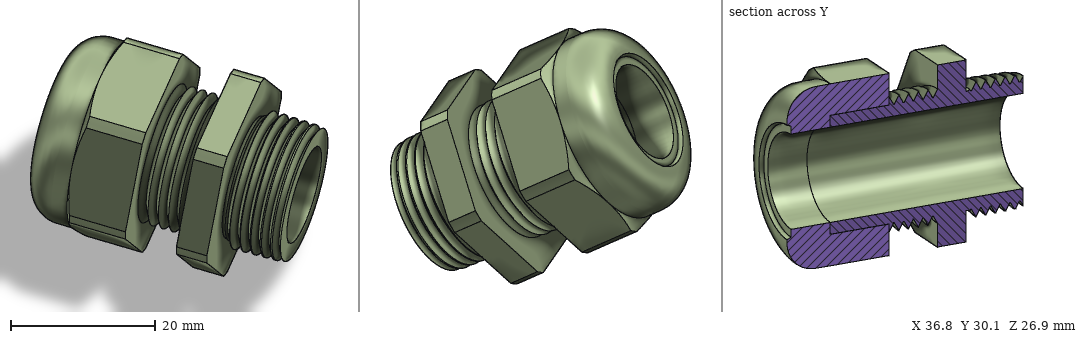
import cadquery as cq
import math


total_length = 36.83
hex_flats = 26.92
hex_corner_diameter = 30.15
bore_radius = 7.0

nut_back = 15.95
nut_hex_front = 6.75
nut_radius = hex_flats / 2
dome_radius = 4.5
corner_chamfer_angle = 30.0
mouth_radius = 8.45
mouth_floor_radius = 8.18
mouth_depth = 0.63
socket_start = nut_hex_front

flange_front = 23.45
flange_back = 27.95
thread_radius = 10.05
front_root_count = 5
rear_first_root = 28.73
rear_last_root = 36.3
rear_root_count = 6
thread_pitch = (rear_last_root - rear_first_root) / (rear_root_count - 1)
front_first_root = nut_back + thread_pitch / 2
flank_angle = 60.0
flank_slope = math.tan(math.radians(flank_angle))
root_radius = thread_radius - thread_pitch / 2 * flank_slope
collar_radius = 8.85
runout_radius = 9.05
runout_end = 28.47
rear_tip_radius = 9.8


def revolve_about_x(profile):
    """Turn a closed (x, radius) profile into a solid of revolution about the X axis."""
    return profile.close().revolve(360, (0, 0, 0), (1, 0, 0))


def cylinder(radius, start, end):
    """Cylinder on the X axis between two X positions."""
    return cq.Workplane("YZ", origin=(start, 0, 0)).circle(radius).extrude(end - start)


def rounded_hexagon(start, end):
    """Hexagon with flats facing +Z and -Z, its corners turned down to the corner diameter."""
    across_corners = hex_flats / math.cos(math.radians(30))
    hexagon = cq.Workplane("YZ", origin=(start, 0, 0)).polygon(6, across_corners).extrude(end - start)
    return hexagon.intersect(cylinder(hex_corner_diameter / 2, start, end))


def make_cap_nut():
    """Domed nut with a stepped mouth, a bore and a socket for the neck of the body."""
    corner_radius = hex_corner_diameter / 2
    chamfer_length = (corner_radius - nut_radius) * math.tan(math.radians(corner_chamfer_angle))
    chamfer_envelope = revolve_about_x(
        cq.Workplane("XY")
        .moveTo(nut_hex_front, 0)
        .lineTo(nut_hex_front, nut_radius)
        .lineTo(nut_hex_front + chamfer_length, corner_radius)
        .lineTo(nut_back, corner_radius)
        .lineTo(nut_back, 0)
    )
    hexagon = rounded_hexagon(nut_hex_front, nut_back).intersect(chamfer_envelope)

    dome = revolve_about_x(
        cq.Workplane("XY")
        .lineTo(0, nut_radius - dome_radius)
        .radiusArc((dome_radius, nut_radius), dome_radius)
        .lineTo(nut_hex_front, nut_radius)
        .lineTo(nut_hex_front, 0)
    )

    opening = revolve_about_x(
        cq.Workplane("XY")
        .lineTo(0, mouth_radius)
        .lineTo(mouth_depth, mouth_floor_radius)
        .lineTo(mouth_depth, bore_radius)
        .lineTo(socket_start, bore_radius)
        .lineTo(socket_start, root_radius)
        .lineTo(nut_back, root_radius)
        .lineTo(nut_back, 0)
    )
    return dome.union(hexagon).cut(opening).solids()


def rear_crest_radius(x):
    """Outside radius of the rear thread, narrowing evenly from the flange to the end."""
    travel = (x - flange_back) / (total_length - flange_back)
    return thread_radius + travel * (rear_tip_radius - thread_radius)


def make_rear_groove(root):
    """V-shaped ring, narrowest at the root, that cuts one rear thread groove."""
    return revolve_about_x(
        cq.Workplane("XY")
        .moveTo(root, root_radius)
        .lineTo(root + thread_pitch / 2, thread_radius)
        .lineTo(root - thread_pitch / 2, thread_radius)
    )


def make_body():
    """Tube with a smooth neck inside the nut, a front thread, a hexagon flange and a rear thread."""
    neck = cylinder(root_radius, socket_start, nut_back)

    front_profile = cq.Workplane("XY").moveTo(nut_back, 0).lineTo(nut_back, thread_radius)
    for index in range(front_root_count):
        root = front_first_root + index * thread_pitch
        front_profile = front_profile.lineTo(root, root_radius)
        front_profile = front_profile.lineTo(root + thread_pitch / 2, thread_radius)
    last_crest = front_first_root + (front_root_count - 0.5) * thread_pitch
    front_thread = revolve_about_x(front_profile.lineTo(last_crest, 0))

    runout_length = runout_end - flange_back
    runout_rise = runout_radius - collar_radius
    runout_sweep = (runout_length**2 + runout_rise**2) / (2 * runout_rise)
    rear_thread = revolve_about_x(
        cq.Workplane("XY")
        .moveTo(flange_back, 0)
        .lineTo(flange_back, collar_radius)
        .radiusArc((runout_end, runout_radius), -runout_sweep)
        .lineTo(rear_first_root, root_radius)
        .lineTo(rear_first_root, rear_crest_radius(rear_first_root))
        .lineTo(total_length, rear_tip_radius)
        .lineTo(total_length, 0)
    )
    for index in range(rear_root_count):
        rear_thread = rear_thread.cut(make_rear_groove(rear_first_root + index * thread_pitch))

    flange = rounded_hexagon(flange_front, flange_back)
    bore = cylinder(bore_radius, socket_start, total_length)
    return neck.union(front_thread).union(flange).union(rear_thread).cut(bore).solids()


cap_nut = make_cap_nut()
body = make_body()
result = cq.Compound.makeCompound([cap_nut.val(), body.val()])